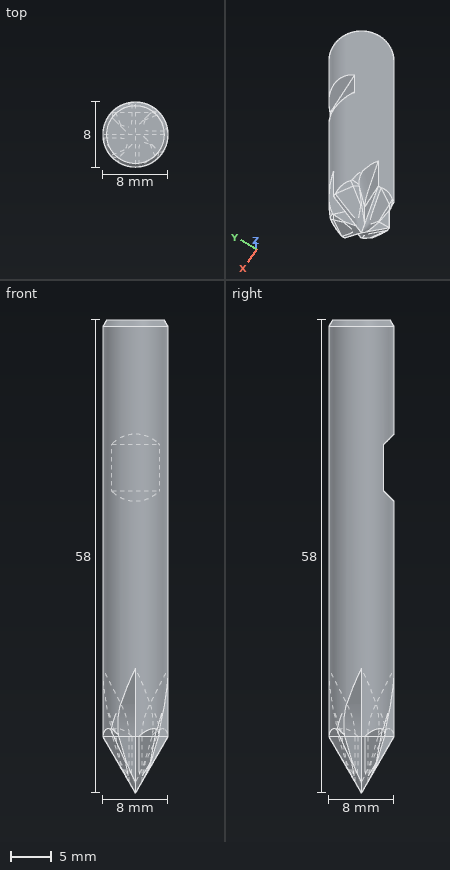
import cadquery as cq
import math

LENGTH = 58.0
DIAMETER = 8.0
RADIUS = DIAMETER / 2
POINT_HALF_ANGLE = 30.0
POINT_HEIGHT = RADIUS / math.tan(math.radians(POINT_HALF_ANGLE))
FLUTED_LENGTH = 21.8
TOOTH_COUNT = 4
TOOTH_PITCH = 360.0 / TOOTH_COUNT

CHAMFER_HEIGHT = 0.8
CHAMFER_WIDTH = 0.45

NOTCH_Z = 39.9
NOTCH_DEPTH = 1.3
NOTCH_FLOOR_LENGTH = 5.7

WEB_OFFSET = 0.55
FLOOR_ARC_START_Z = 6.95
FLOOR_ARC_RADIUS = 11.6
RUNOUT_ANGLE = 20.0

CLEARANCE = (34.0, 25.7, 0.2)
UPPER_BACK = (70.0, 9.0, 2.25)
LOWER_BACK = (55.6, 22.3, 0.6)

REACH = 23.2


def turned_blank():
    """Pointed round bar with a chamfered shank end."""
    profile = [
        (0, 0),
        (RADIUS, POINT_HEIGHT),
        (RADIUS, LENGTH - CHAMFER_HEIGHT),
        (RADIUS - CHAMFER_WIDTH, LENGTH),
        (0, LENGTH),
    ]
    return cq.Workplane("XZ").polyline(profile).close().revolve(360, (0, 0), (0, 1))


def notch():
    """Clamping notch with 45 degree ends."""
    half_floor = NOTCH_FLOOR_LENGTH / 2
    half_mouth = half_floor + NOTCH_DEPTH
    floor_y = RADIUS - NOTCH_DEPTH
    profile = [
        (floor_y, NOTCH_Z - half_floor),
        (RADIUS, NOTCH_Z - half_mouth),
        (RADIUS, NOTCH_Z + half_mouth),
        (floor_y, NOTCH_Z + half_floor),
    ]
    return cq.Workplane("YZ").polyline(profile).close().extrude(RADIUS, both=True)


def quadrant(start_angle, bottom, top):
    """Square prism filling one quarter turn, counterclockwise from start_angle."""
    block = cq.Workplane("XY").box(REACH, REACH, top - bottom, centered=False)
    return block.translate((0, 0, bottom)).rotate((0, 0, 0), (0, 0, 1), start_angle)


def flute():
    """Flute in the -X -Y quarter; its x = 0 wall is the rake face of the -Y tooth."""
    angle = math.radians(RUNOUT_ANGLE)
    middle = angle / 2

    def arc_point(turn):
        offset = WEB_OFFSET + FLOOR_ARC_RADIUS * (1 - math.cos(turn))
        return offset, FLOOR_ARC_START_Z + FLOOR_ARC_RADIUS * math.sin(turn)

    arc_end_offset, arc_end_z = arc_point(angle)
    runout_offset = arc_end_offset + (FLUTED_LENGTH - arc_end_z) * math.tan(angle)
    side_profile = (
        cq.Workplane("XZ")
        .moveTo(WEB_OFFSET, 0)
        .lineTo(WEB_OFFSET, FLOOR_ARC_START_Z)
        .threePointArc(arc_point(middle), (arc_end_offset, arc_end_z))
        .lineTo(runout_offset, FLUTED_LENGTH)
        .lineTo(REACH, FLUTED_LENGTH)
        .lineTo(REACH, 0)
        .close()
    )
    channel = side_profile.extrude(REACH, both=True).rotate((0, 0, 0), (0, 0, 1), -TOOTH_PITCH / 2)
    return channel.intersect(quadrant(180, 0, FLUTED_LENGTH))


def relief(azimuth, tilt, distance, edge_angle):
    """Material beyond a tilted plane, within the quarter behind one cutting edge."""
    direction = math.radians(edge_angle + azimuth)
    down = math.radians(tilt)
    normal = cq.Vector(
        math.cos(direction) * math.cos(down),
        math.sin(direction) * math.cos(down),
        -math.sin(down),
    )
    plane = cq.Plane(origin=normal * distance, normal=normal)
    outside = cq.Workplane(plane).rect(2 * REACH, 2 * REACH).extrude(REACH)
    return outside.intersect(quadrant(edge_angle, 0, FLUTED_LENGTH))


def cut_teeth(blank):
    """Cut every flute and the three reliefs behind each cutting edge."""
    first_edge = 180.0
    cutters = [flute()]
    for plane in (CLEARANCE, UPPER_BACK, LOWER_BACK):
        cutters.append(relief(*plane, first_edge))
    for index in range(TOOTH_COUNT):
        for cutter in cutters:
            turned = cutter.rotate((0, 0, 0), (0, 0, 1), index * TOOTH_PITCH)
            blank = blank.cut(turned, clean=False)
    return blank


def make_shank(tool):
    """Shank and fluted cylinder, down to the base of the point."""
    above_point = cq.Workplane("XY").workplane(offset=POINT_HEIGHT).rect(REACH, REACH).extrude(LENGTH)
    return tool.intersect(above_point, clean=False)


def make_cutting_tip(tool, index):
    """One tooth of the conical point, occupying one quarter turn."""
    return tool.intersect(quadrant(index * TOOTH_PITCH, 0, POINT_HEIGHT), clean=False)


tool = cut_teeth(turned_blank().cut(notch(), clean=False))
shank = make_shank(tool)
cutting_tips = [make_cutting_tip(tool, index) for index in range(TOOTH_COUNT)]

result = cq.Compound.makeCompound([*shank.vals(), *[tip.val() for tip in cutting_tips]])